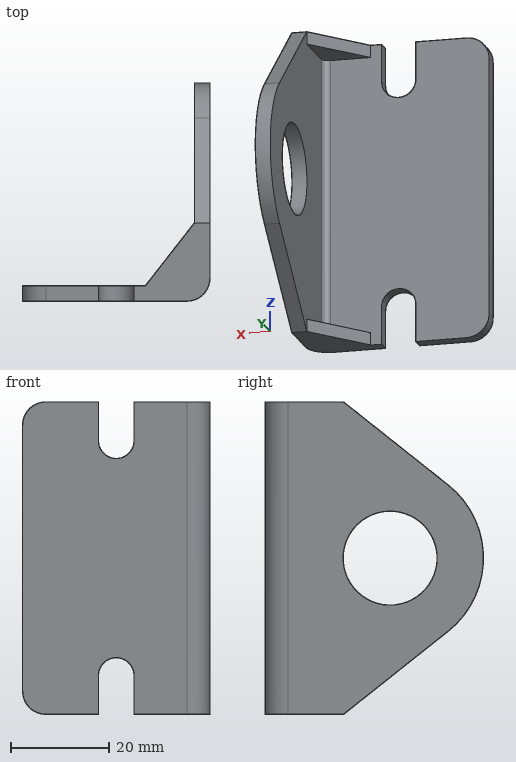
import cadquery as cq
import math

width = 38.1
height = 63.5
plate = 3.2
bend_inner = 1.5
bend_outer = plate + bend_inner
corner_radius = 4.75

slot_width = 7.2
slot_depth = 11.5

hole_diameter = 19.05
hole_y = 25.4
lug_radius = 19.0
shoulder_y = 15.95

gusset_thickness = 2.6
gusset_reach_x = 13.15

half_height = height / 2
lug_length = hole_y + lug_radius


def base_plate():
    """Base plate with rounded free corners and a slot at each end."""
    body = cq.Workplane("XY").box(width, plate, height, centered=(False, False, True))
    body = body.edges("|Y and <X").fillet(corner_radius)
    slot_radius = slot_width / 2
    for side in (-1, 1):
        slot_end = side * (half_height - slot_depth)
        arc_center = side * (half_height - slot_depth + slot_radius)
        edge = side * half_height
        slot = (
            cq.Workplane("XZ")
            .moveTo(width / 2 - slot_radius, edge)
            .lineTo(width / 2 - slot_radius, arc_center)
            .threePointArc((width / 2, slot_end), (width / 2 + slot_radius, arc_center))
            .lineTo(width / 2 + slot_radius, edge)
            .close()
            .extrude(-plate)
        )
        body = body.cut(slot)
    return body


def lug_plate():
    """Upright plate whose sloping sides run tangent into the round end."""
    run = hole_y - shoulder_y
    distance = math.hypot(run, half_height)
    angle = math.atan2(half_height, -run) - math.acos(lug_radius / distance)
    tangent_y = hole_y + lug_radius * math.cos(angle)
    tangent_z = lug_radius * math.sin(angle)
    return (
        cq.Workplane("YZ", origin=(width - plate, 0, 0))
        .moveTo(0, -half_height)
        .lineTo(shoulder_y, -half_height)
        .lineTo(tangent_y, -tangent_z)
        .threePointArc((lug_length, 0), (tangent_y, tangent_z))
        .lineTo(shoulder_y, half_height)
        .lineTo(0, half_height)
        .close()
        .moveTo(hole_y, 0)
        .circle(hole_diameter / 2)
        .extrude(plate)
    )


def gusset(bottom_z):
    """Flat web closing one end of the inside corner."""
    return (
        cq.Workplane("XY", origin=(0, 0, bottom_z))
        .moveTo(width - gusset_reach_x, plate)
        .lineTo(width - plate, shoulder_y)
        .lineTo(width - plate, plate)
        .close()
        .extrude(gusset_thickness)
    )


result = base_plate().union(lug_plate())
margin = bend_inner / 2
inside_corner = cq.selectors.BoxSelector(
    (width - plate - margin, plate - margin, -margin),
    (width - plate + margin, plate + margin, margin),
)
result = result.edges(inside_corner).fillet(bend_inner)
for bottom_z in (-half_height, half_height - gusset_thickness):
    result = result.union(gusset(bottom_z))

result = result.edges("|Z and >X and <Y").fillet(bend_outer)